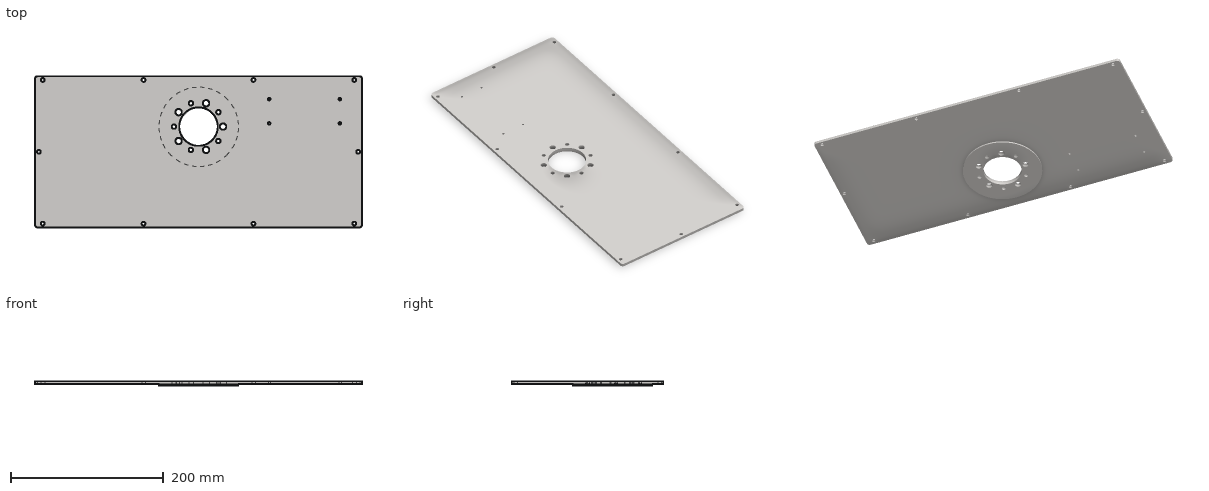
import cadquery as cq

length = 428.0
width = 198.0
total_height = 6.0
plate_thickness = 4.0
corner_radius = 4.0
boss_height = total_height - plate_thickness

opening_y = 33.0
opening_diameter = 50.0
bolt_circle_radius = 32.0
bolts_per_size = 5
large_bolt_diameter = 8.0
small_bolt_diameter = 5.5
boss_diameter = 104.0

edge_hole_diameter = 4.5
edge_inset = 5.0
edge_hole_y = width / 2 - edge_inset
side_hole_x = length / 2 - edge_inset
corner_hole_x = 203.7
inner_hole_x = 72.0

small_hole_diameter = 3.0
group_center_x = 138.5
group_center_y = 53.0
group_spacing_x = 92.5
group_spacing_y = 31.5


def through_holes(points, diameter):
    """Vertical cutters spanning the full height of the part."""
    return (
        cq.Workplane("XY", origin=(0, 0, -boss_height))
        .pushPoints(points)
        .circle(diameter / 2)
        .extrude(total_height)
    )


def bolt_holes(diameter, start_angle):
    """One set of evenly spaced holes around the central opening."""
    return (
        cq.Workplane("XY", origin=(0, opening_y, -boss_height))
        .polarArray(bolt_circle_radius, start_angle, 360, bolts_per_size)
        .circle(diameter / 2)
        .extrude(total_height)
    )


plate = (
    cq.Workplane("XY")
    .rect(length, width)
    .extrude(plate_thickness)
    .edges("|Z")
    .fillet(corner_radius)
)

boss = (
    cq.Workplane("XY", origin=(0, opening_y, -boss_height))
    .circle(boss_diameter / 2)
    .extrude(boss_height)
)

edge_points = [(-side_hole_x, 0), (side_hole_x, 0)]
for x in (-corner_hole_x, -inner_hole_x, inner_hole_x, corner_hole_x):
    for y in (-edge_hole_y, edge_hole_y):
        edge_points.append((x, y))

group_points = [
    (group_center_x + i * group_spacing_x / 2, group_center_y + j * group_spacing_y / 2)
    for i in (-1, 1)
    for j in (-1, 1)
]

half_bolt_step = 180 / bolts_per_size
result = (
    plate.union(boss)
    .cut(through_holes([(0, opening_y)], opening_diameter))
    .cut(bolt_holes(large_bolt_diameter, 0))
    .cut(bolt_holes(small_bolt_diameter, half_bolt_step))
    .cut(through_holes(edge_points, edge_hole_diameter))
    .cut(through_holes(group_points, small_hole_diameter))
)